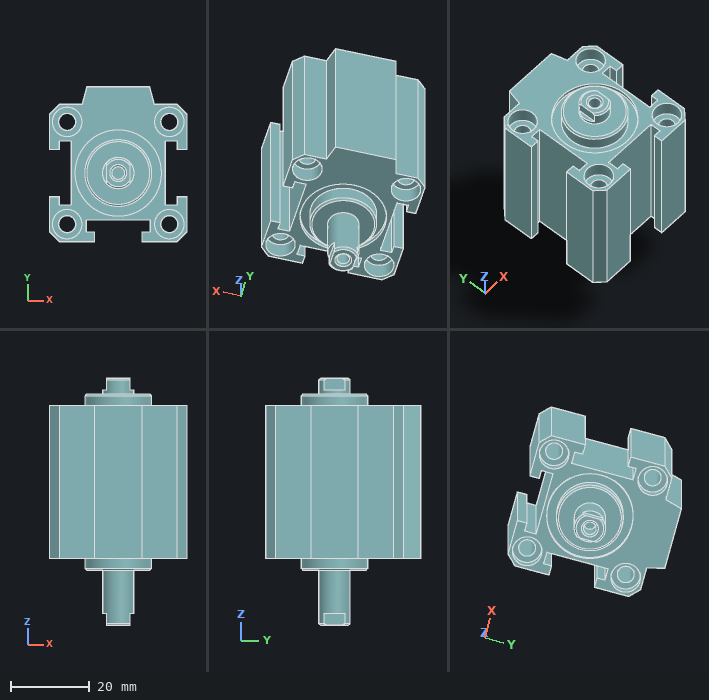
import cadquery as cq

HOUSING_SIDE = 35.0
HOUSING_HEIGHT = 39.0
CORNER_CHAMFER = 2.5
RIDGE_HEIGHT = 4.5
RIDGE_TOP_WIDTH = 16.0
RIDGE_BASE_WIDTH = 18.4

SLOT_MOUTH_WIDTH = 12.0
SLOT_INNER_WIDTH = 16.2
SLOT_LIP = 2.5
SLOT_DEPTH = 5.55
SLOT_ANGLES = (-90, 0, 90)

HOLE_SPACING = 26.0
HOLE_DIAMETER = 4.3
COUNTERBORE_DIAMETER = 7.5
COUNTERBORE_DEPTH = 4.5

RECESS_DIAMETER = 22.0
RECESS_DEPTH = 1.3
BOSS_DIAMETER = 17.0
BOSS_HEIGHT = 2.95
BOSS_CHAMFER = 0.5

TOTAL_LENGTH = 63.0
ROD_DIAMETER = 8.0
ROD_TOP_PROJECTION = 4.05
ROD_CHAMFER = 0.5
FLAT_LENGTH = 3.0
FLATS_WIDTH = 6.0
ROD_HOLE_DIAMETER = 3.2
ROD_HOLE_DEPTH = 7.55
COUNTERSINK_DIAMETER = 4.3

HALF_SIDE = HOUSING_SIDE / 2
HALF_HEIGHT = HOUSING_HEIGHT / 2
BOSS_END = HALF_HEIGHT + BOSS_HEIGHT
RECESS_FLOOR = HALF_HEIGHT - RECESS_DEPTH
ROD_TOP = BOSS_END + ROD_TOP_PROJECTION
ROD_BOTTOM = ROD_TOP - TOTAL_LENGTH
ROD_CENTRE = (ROD_TOP + ROD_BOTTOM) / 2


def both_ends(feature, plane_height=0):
    """Return a feature joined with its mirror image in a horizontal plane."""
    return feature.union(feature.mirror("XY", (0, 0, plane_height)))


def make_block():
    block = (
        cq.Workplane("XY")
        .box(HOUSING_SIDE, HOUSING_SIDE, HOUSING_HEIGHT)
        .edges("|Z")
        .chamfer(CORNER_CHAMFER)
    )
    ridge = (
        cq.Workplane("XY", origin=(0, 0, -HALF_HEIGHT))
        .polyline([
            (-RIDGE_BASE_WIDTH / 2, HALF_SIDE),
            (RIDGE_BASE_WIDTH / 2, HALF_SIDE),
            (RIDGE_TOP_WIDTH / 2, HALF_SIDE + RIDGE_HEIGHT),
            (-RIDGE_TOP_WIDTH / 2, HALF_SIDE + RIDGE_HEIGHT),
        ])
        .close()
        .extrude(HOUSING_HEIGHT)
    )
    return block.union(ridge)


def make_slot(angle):
    """Return a T-slot cutter for the -Y side, turned about Z by the angle."""
    mouth = (
        cq.Workplane("XY", origin=(0, -HALF_SIDE + SLOT_DEPTH / 2, 0))
        .box(SLOT_MOUTH_WIDTH, SLOT_DEPTH, HOUSING_HEIGHT)
    )
    inner_depth = SLOT_DEPTH - SLOT_LIP
    inner = (
        cq.Workplane("XY", origin=(0, -HALF_SIDE + SLOT_LIP + inner_depth / 2, 0))
        .box(SLOT_INNER_WIDTH, inner_depth, HOUSING_HEIGHT)
    )
    return mouth.union(inner).rotate((0, 0, 0), (0, 0, 1), angle)


def make_mounting_holes():
    """Return cutters for four through holes, counterbored at both ends."""
    corners = cq.Workplane("XY").rect(HOLE_SPACING, HOLE_SPACING, forConstruction=True).vertices()
    holes = corners.circle(HOLE_DIAMETER / 2).extrude(HALF_HEIGHT, both=True)
    counterbores = (
        cq.Workplane("XY", origin=(0, 0, HALF_HEIGHT - COUNTERBORE_DEPTH))
        .rect(HOLE_SPACING, HOLE_SPACING, forConstruction=True)
        .vertices()
        .circle(COUNTERBORE_DIAMETER / 2)
        .extrude(COUNTERBORE_DEPTH)
    )
    return holes.union(both_ends(counterbores))


def make_recess():
    return (
        cq.Workplane("XY", origin=(0, 0, RECESS_FLOOR))
        .circle(RECESS_DIAMETER / 2)
        .extrude(RECESS_DEPTH)
    )


def make_boss():
    return (
        cq.Workplane("XY", origin=(0, 0, RECESS_FLOOR))
        .circle(BOSS_DIAMETER / 2)
        .extrude(RECESS_DEPTH + BOSS_HEIGHT)
        .faces(">Z")
        .chamfer(BOSS_CHAMFER)
    )


def make_housing():
    body = make_block()
    for angle in SLOT_ANGLES:
        body = body.cut(make_slot(angle))
    body = body.cut(make_mounting_holes())
    body = body.cut(both_ends(make_recess()))
    body = body.union(both_ends(make_boss()))
    rod_bore = cq.Workplane("XY").circle(ROD_DIAMETER / 2).extrude(BOSS_END, both=True)
    return body.cut(rod_bore)


def make_rod_end_cutters():
    """Return cutters for the two wrench flats and the blind hole at the top of the rod."""
    flat_bottom = cq.Workplane("XY", origin=(0, 0, ROD_TOP - FLAT_LENGTH))
    across_flats = flat_bottom.rect(FLATS_WIDTH, ROD_DIAMETER).extrude(FLAT_LENGTH)
    flats = flat_bottom.rect(ROD_DIAMETER, ROD_DIAMETER).extrude(FLAT_LENGTH).cut(across_flats)
    hole_radius = ROD_HOLE_DIAMETER / 2
    countersink_radius = COUNTERSINK_DIAMETER / 2
    countersink_depth = countersink_radius - hole_radius
    hole = (
        cq.Workplane("XZ")
        .polyline([
            (0, ROD_TOP),
            (countersink_radius, ROD_TOP),
            (hole_radius, ROD_TOP - countersink_depth),
            (hole_radius, ROD_TOP - ROD_HOLE_DEPTH),
            (0, ROD_TOP - ROD_HOLE_DEPTH),
        ])
        .close()
        .revolve(360, (0, 0, 0), (0, 1, 0))
    )
    return flats.union(hole)


def make_rod():
    rod = (
        cq.Workplane("XY", origin=(0, 0, ROD_BOTTOM))
        .circle(ROD_DIAMETER / 2)
        .extrude(TOTAL_LENGTH)
        .faces("<Z or >Z")
        .chamfer(ROD_CHAMFER)
    )
    return rod.cut(both_ends(make_rod_end_cutters(), ROD_CENTRE))


housing = make_housing()
rod = make_rod()
result = cq.Compound.makeCompound([housing.val(), rod.val()])